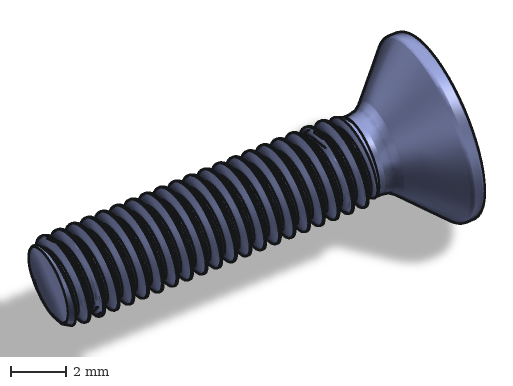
import cadquery as cq
import math


length = 16.0

head_radius = 7.3 / 2
rim_height = 0.55
top_edge_fillet = 0.16
rim_cone_fillet = 0.21
cone_angle = math.radians(45)

pitch = 0.6
major_radius = 3.5 / 2
flank_slope = math.tan(math.radians(30))
triangle_height = pitch / (2 * flank_slope)
pitch_radius = major_radius - triangle_height * 3 / 8
root_radius = major_radius - triangle_height * 17 / 24
crest_flat = pitch / 8

neck_radius = pitch_radius
neck_fillet = 0.9
neck_end = 3.27

runout_length = 0.47

tip_radius = 1.5
tip_chamfer_length = 0.42

sink = 0.05
edge_margin = 0.01
overshoot = 0.05


def make_blank():
    """Head, neck and thread core revolved from one half profile (radius, -depth), edges rounded."""
    sharp_neck_depth = rim_height + (head_radius - neck_radius) / math.tan(cone_angle)
    blank = (
        cq.Workplane("XY")
        .moveTo(0, 0)
        .lineTo(head_radius, 0)
        .lineTo(head_radius, -rim_height)
        .lineTo(neck_radius, -sharp_neck_depth)
        .lineTo(neck_radius, -neck_end)
        .lineTo(root_radius, -neck_end)
        .lineTo(root_radius, -length)
        .lineTo(0, -length)
        .close()
        .revolve(360, (0, 0, 0), (0, 1, 0))
    )
    blank = fillet_circle(blank, 0, head_radius, top_edge_fillet)
    blank = fillet_circle(blank, rim_height, head_radius, rim_cone_fillet)
    return fillet_circle(blank, sharp_neck_depth, neck_radius, neck_fillet)


def fillet_circle(body, depth, radius, fillet):
    """Round the circular edge of the given radius at the given depth."""
    reach = radius + edge_margin
    box = cq.selectors.BoxSelector(
        (-reach, -depth - edge_margin, -reach), (reach, -depth + edge_margin, reach), boundingbox=True
    )
    return body.edges(box).fillet(fillet)


def make_ridge():
    """Right-handed helical ridge running past the tip and into the neck."""
    start = pitch / 4 - pitch
    turns = math.ceil((length - neck_end + pitch / 2 - start) / pitch)
    inner_radius = root_radius - sink
    half_crest = crest_flat / 2
    half_base = half_crest + (major_radius - inner_radius) * flank_slope
    helix = cq.Wire.makeHelix(pitch, turns * pitch, major_radius, center=cq.Vector(0, 0, start))
    ridge = (
        cq.Workplane("XZ")
        .moveTo(inner_radius, start - half_base)
        .lineTo(major_radius, start - half_crest)
        .lineTo(major_radius, start + half_crest)
        .lineTo(inner_radius, start + half_base)
        .close()
        .sweep(cq.Workplane("XY").add(helix), isFrenet=True)
    )
    return ridge.rotate((0, 0, 0), (1, 0, 0), -90).translate((0, -length, 0))


def make_envelope():
    """Spindle that trims the ridge, with a conical run-out at the neck and a chamfer at the tip."""
    outer_radius = major_radius + overshoot
    runout = runout_length * (outer_radius - neck_radius) / (major_radius - neck_radius)
    chamfer = tip_chamfer_length * (outer_radius - tip_radius) / (major_radius - tip_radius)
    return (
        cq.Workplane("XY")
        .moveTo(0, -neck_end)
        .lineTo(neck_radius, -neck_end)
        .lineTo(outer_radius, -neck_end - runout)
        .lineTo(outer_radius, -length + chamfer)
        .lineTo(tip_radius, -length)
        .lineTo(0, -length)
        .close()
        .revolve(360, (0, 0, 0), (0, 1, 0))
    )


result = make_blank().union(make_ridge().intersect(make_envelope()))